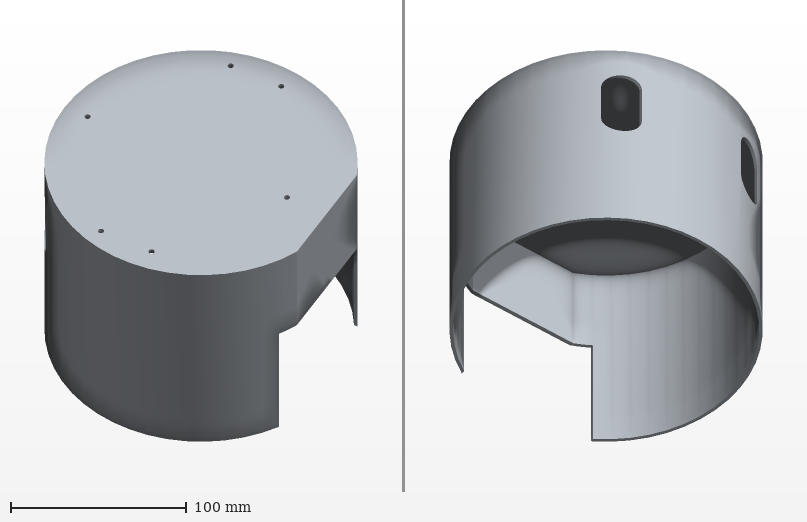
import cadquery as cq

outer_radius = 89.0
height = 136.0
wall = 2.0
top_thickness = 3.0
inner_radius = outer_radius - wall

flat_x = 82.0
flat_wall = 2.5

opening_width = 91.0
opening_height = 76.0

slot_width = 20.0
slot_height = 45.0
slot_bottom = 71.0
slot_offset_y = 45.0
upright_angle = 90

hole_diameter = 3.5
axis_hole_spacing = 130.0
axis_hole_center_x = -9.0
side_hole_spacing_x = 33.0
side_hole_spacing_y = 150.0
side_hole_center_x = -6.5


def flattened_cylinder(radius, flat, length):
    """Upright cylinder from Z = 0 with everything beyond X = flat removed."""
    cylinder = cq.Workplane("XY").circle(radius).extrude(length)
    kept_block = (
        cq.Workplane("XY", origin=(-radius, 0, 0))
        .box(radius + flat, 2 * radius, length, centered=(False, True, False))
    )
    return cylinder.intersect(kept_block)


def shell():
    outside = flattened_cylinder(outer_radius, flat_x, height)
    cavity = flattened_cylinder(inner_radius, flat_x - flat_wall, height - top_thickness)
    return outside.cut(cavity)


def flat_side_opening():
    return cq.Workplane("XY").box(outer_radius, opening_width, opening_height, centered=(False, True, False))


def wall_slots():
    slot_center_z = slot_bottom + slot_height / 2
    return (
        cq.Workplane("YZ")
        .pushPoints([(-slot_offset_y, slot_center_z), (slot_offset_y, slot_center_z)])
        .slot2D(slot_height, slot_width, upright_angle)
        .extrude(-outer_radius)
    )


def top_hole_pattern(center_x, spacing_x, spacing_y, count_y):
    """Two columns of holes through the top, centered on (center_x, 0)."""
    return (
        cq.Workplane("XY", origin=(center_x, 0, height))
        .rarray(spacing_x, spacing_y, 2, count_y)
        .circle(hole_diameter / 2)
        .extrude(-top_thickness)
    )


def top_holes():
    axis_holes = top_hole_pattern(axis_hole_center_x, axis_hole_spacing, side_hole_spacing_y, 1)
    side_holes = top_hole_pattern(side_hole_center_x, side_hole_spacing_x, side_hole_spacing_y, 2)
    return axis_holes.union(side_holes)


result = shell().cut(flat_side_opening()).cut(wall_slots()).cut(top_holes())